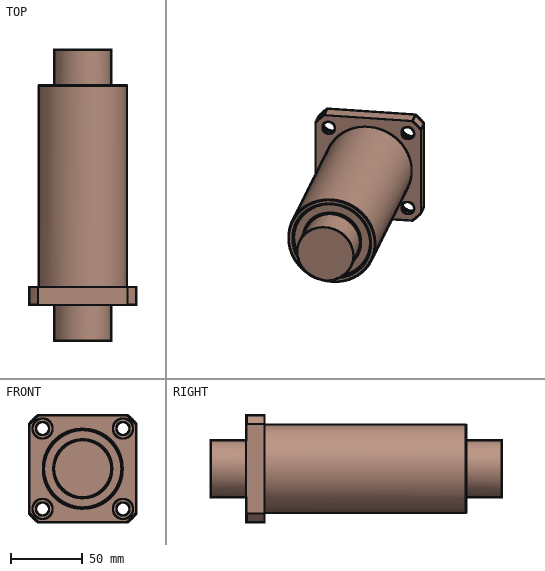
import cadquery as cq

shaft_length = 204.0
shaft_diameter = 40.0
body_length = 154.0
body_diameter = 62.0
body_end_chamfer = 0.5

flange_width = 75.0
flange_disc_diameter = 98.0
flange_thickness = 12.9
flange_corner_chamfer = 0.5

hole_spacing = 56.3
hole_diameter = 9.0
counterbore_diameter = 14.0
counterbore_depth = 8.5

seal_rim_diameter = 56.0
seal_diameter = 54.0
seal_recess_depth = 1.5
lip_diameter = 41.5
lip_height = 1.0

front_y = -body_length / 2


def rod_from(start_y, diameter, length):
    """Cylinder on the Y axis that grows from start_y toward +Y."""
    plane = cq.Workplane("XZ", origin=(0, start_y, 0))
    return plane.circle(diameter / 2).extrude(-length)


def make_flange():
    disc = rod_from(front_y, flange_disc_diameter, flange_thickness)
    disc = disc.faces("<Y").chamfer(flange_corner_chamfer)
    square = cq.Workplane("XZ", origin=(0, front_y, 0)).rect(flange_width, flange_width)
    return disc.intersect(square.extrude(-flange_thickness))


def make_hole_cutter():
    face = cq.Workplane("XZ", origin=(0, front_y, 0))
    centres = face.rect(hole_spacing, hole_spacing, forConstruction=True).vertices()
    holes = centres.circle(hole_diameter / 2).extrude(-flange_thickness)
    counterbores = centres.circle(counterbore_diameter / 2).extrude(-counterbore_depth)
    return holes.union(counterbores)


def make_seal_cutter():
    """Tapered recess at the front end that leaves the seal lip standing."""
    rim_radius = seal_rim_diameter / 2
    seal_radius = seal_diameter / 2
    lip_radius = lip_diameter / 2
    floor_y = front_y + seal_recess_depth
    profile = [
        (0, front_y),
        (rim_radius, front_y),
        (seal_radius, floor_y),
        (lip_radius, floor_y),
        (lip_radius, floor_y - lip_height),
        (0, floor_y - lip_height),
    ]
    return cq.Workplane("XY").polyline(profile).close().revolve(360, (0, 0, 0), (0, 1, 0))


body = rod_from(front_y, body_diameter, body_length).faces(">Y").chamfer(body_end_chamfer)
housing = body.union(make_flange()).cut(make_hole_cutter())
seal_cutter = make_seal_cutter()
housing = housing.cut(seal_cutter).cut(seal_cutter.mirror("XZ"))

shaft = rod_from(-shaft_length / 2, shaft_diameter, shaft_length)
result = housing.union(shaft)